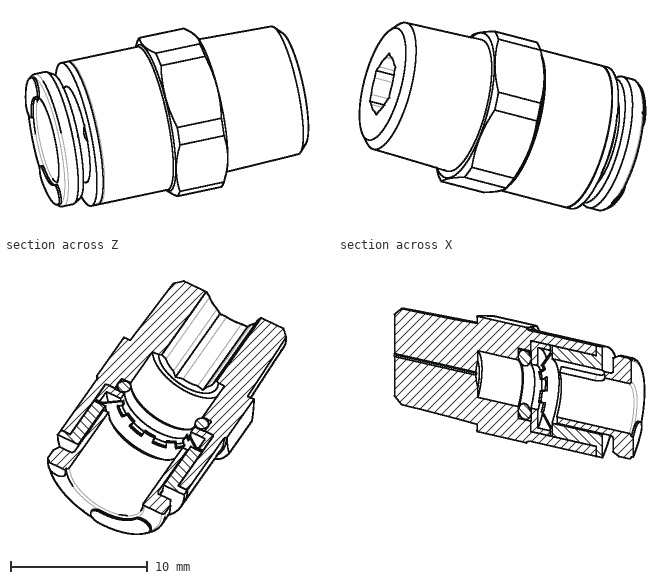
import cadquery as cq
import math

LENGTH = 18.9
FIT_GAP = 0.04

BARREL_RADIUS = 5.35
BARREL_START = 2.91
BARREL_END_FILLET = 0.1
HEX_START = 8.41
HEX_END = 12.38
HEX_ACROSS_FLATS = 11.0
HEX_ACROSS_CORNERS = 12.0
HEX_CORNER_RADIUS = HEX_ACROSS_CORNERS / 2
HEX_FACE_RADIUS = 5.46
HEX_CHAMFER_LENGTH = 0.3
HEX_NECK_LENGTH = 0.15
THREAD_ROOT_RADIUS = 4.97
THREAD_TIP_RADIUS = 4.78
THREAD_CHAMFER = 0.57

CARTRIDGE_RADIUS = 4.54
TUBE_BORE_RADIUS = 3.02
TUBE_SEAT = 12.28
PASSAGE_MOUTH_RADIUS = 2.51
PASSAGE_RADIUS = 2.1
PASSAGE_CONE_HALF_ANGLE = 60.0
KEY_ACROSS_FLATS = 4.0

END_RING_START = 2.44
END_RING_RADIUS = BARREL_RADIUS
END_RING_END = 6.43

PAD_HEIGHT = 0.15
BUTTON_RADIUS = 4.95
BUTTON_FILLET = 0.2
BUTTON_RIM_END = 1.13
BUTTON_END = 1.6
BUTTON_BACK_RADIUS = 4.69
COLLET_RADIUS = 3.55
COLLET_NECK_CHAMFER = 0.17
COLLET_NECK_STEP = 0.1
COLLET_BORE_RADIUS = 3.12
COLLET_END = 6.05
MOUTH_FILLET = 0.17
RELIEF_SLOT_WIDTH = 2.0
RELIEF_SLOT_START = 2.29
COLLET_TURN = 45.0
PAD_OFFSET_ANGLE = 112.0
PAD_HALF_ANGLE = 29.0

TOOTH_COUNT = 9
TOOTH_ANGLE = 18.0
TOOTH_TIP_RADIUS = 2.7
TOOTH_ROOT_RADIUS = 3.05
GRIP_RIM_RADIUS = 3.97
GRIP_CONE_DEPTH = 0.95
GRIP_THICKNESS = 0.15

SPACER_BORE_RADIUS = 2.95
SPACER_WEB_THICKNESS = 0.57
SPACER_SKIRT_RADIUS = 4.15
ORING_INNER_RADIUS = 2.78
ORING_SECTION = 1.0

GRIP_RIM_END = END_RING_END + GRIP_THICKNESS
SPACER_WEB_START = GRIP_RIM_END + GRIP_CONE_DEPTH
SPACER_END = SPACER_WEB_START + SPACER_WEB_THICKNESS
ORING_SEAT_END = SPACER_END + ORING_SECTION
ORING_OUTER_RADIUS = ORING_INNER_RADIUS + ORING_SECTION


def revolved(profile):
    """Turn a closed list of (radius, y) points about the Y axis."""
    points = [(-radius, y) for radius, y in profile]
    return cq.Workplane("XY").polyline(points).close().revolve(360, (0, 0), (0, 1))


def cross_section(y):
    """Sketch plane across the axis; a negative extrusion runs toward +Y."""
    return cq.Workplane("XZ", origin=(0, y, 0))


def polar(radius, angle):
    """Point of a cross-section sketch at an angle given in degrees from +X."""
    turn = math.radians(angle)
    return (radius * math.cos(turn), radius * math.sin(turn))


def hexagon_prism(across_flats, start, end, corner_turn):
    """Hexagonal bar along Y with its first corner turned from +X by corner_turn degrees."""
    corner_radius = across_flats / math.sqrt(3)
    corners = [polar(corner_radius, corner_turn + 60 * i) for i in range(6)]
    return cross_section(start).polyline(corners).close().extrude(start - end)


def make_hexagon():
    blank = revolved([
        (0, HEX_START),
        (HEX_FACE_RADIUS, HEX_START),
        (HEX_CORNER_RADIUS, HEX_START + HEX_CHAMFER_LENGTH),
        (HEX_CORNER_RADIUS, HEX_END - HEX_CHAMFER_LENGTH),
        (HEX_FACE_RADIUS, HEX_END),
        (0, HEX_END),
    ])
    return blank.intersect(hexagon_prism(HEX_ACROSS_FLATS, HEX_START, HEX_END, 30))


def make_housing():
    barrel = revolved([
        (0, BARREL_START),
        (BARREL_RADIUS, BARREL_START),
        (BARREL_RADIUS, HEX_START - HEX_NECK_LENGTH),
        (HEX_FACE_RADIUS, HEX_START),
        (0, HEX_START),
    ])
    barrel = barrel.faces("<Y").edges().fillet(BARREL_END_FILLET)
    thread = revolved([
        (0, HEX_END),
        (THREAD_ROOT_RADIUS, HEX_END),
        (THREAD_TIP_RADIUS, LENGTH - THREAD_CHAMFER),
        (THREAD_TIP_RADIUS - THREAD_CHAMFER, LENGTH),
        (0, LENGTH),
    ])
    cone_slope = math.tan(math.radians(PASSAGE_CONE_HALF_ANGLE))
    cone_depth = (PASSAGE_MOUTH_RADIUS - PASSAGE_RADIUS) / cone_slope
    bore = revolved([
        (0, BARREL_START),
        (CARTRIDGE_RADIUS, BARREL_START),
        (CARTRIDGE_RADIUS, SPACER_END),
        (ORING_OUTER_RADIUS, SPACER_END),
        (ORING_OUTER_RADIUS, ORING_SEAT_END),
        (TUBE_BORE_RADIUS, ORING_SEAT_END),
        (TUBE_BORE_RADIUS, TUBE_SEAT),
        (PASSAGE_MOUTH_RADIUS, TUBE_SEAT),
        (PASSAGE_RADIUS, TUBE_SEAT + cone_depth),
        (PASSAGE_RADIUS, LENGTH),
        (0, LENGTH),
    ])
    key_socket = hexagon_prism(KEY_ACROSS_FLATS, TUBE_SEAT, LENGTH, 0)
    return barrel.union(make_hexagon()).union(thread).cut(bore).cut(key_socket)


def make_end_ring():
    bore_radius = COLLET_RADIUS + FIT_GAP
    return revolved([
        (bore_radius, END_RING_START),
        (END_RING_RADIUS, END_RING_START),
        (END_RING_RADIUS, BARREL_START),
        (CARTRIDGE_RADIUS, BARREL_START),
        (CARTRIDGE_RADIUS, END_RING_END),
        (bore_radius, END_RING_END),
    ])


def make_pad(middle_angle):
    """Curved oblong pad filling the ring-shaped button face between mouth and rim fillet."""
    inner_radius = COLLET_BORE_RADIUS + MOUTH_FILLET
    outer_radius = BUTTON_RADIUS - BUTTON_FILLET
    centre_radius = (inner_radius + outer_radius) / 2
    end_radius = (outer_radius - inner_radius) / 2
    first = middle_angle - PAD_HALF_ANGLE
    last = middle_angle + PAD_HALF_ANGLE
    end_reach = math.degrees(end_radius / centre_radius)
    return (
        cross_section(0)
        .moveTo(*polar(outer_radius, first))
        .threePointArc(polar(outer_radius, middle_angle), polar(outer_radius, last))
        .threePointArc(polar(centre_radius, last + end_reach), polar(inner_radius, last))
        .threePointArc(polar(inner_radius, middle_angle), polar(inner_radius, first))
        .threePointArc(polar(centre_radius, first - end_reach), polar(outer_radius, first))
        .close()
        .extrude(-PAD_HEIGHT)
    )


def make_relief_slot():
    """Slot through one side of the collet wall, round at the button end and open at the other."""
    radius = RELIEF_SLOT_WIDTH / 2
    round_end = RELIEF_SLOT_START + radius
    return (
        cq.Workplane("XY")
        .moveTo(-radius, COLLET_END)
        .lineTo(-radius, round_end)
        .threePointArc((0, RELIEF_SLOT_START), (radius, round_end))
        .lineTo(radius, COLLET_END)
        .close()
        .extrude(COLLET_RADIUS)
    )


def make_collet():
    collet = revolved([
        (COLLET_BORE_RADIUS, PAD_HEIGHT),
        (BUTTON_RADIUS, PAD_HEIGHT),
        (BUTTON_RADIUS, BUTTON_RIM_END),
        (BUTTON_BACK_RADIUS, BUTTON_END),
        (COLLET_RADIUS + COLLET_NECK_STEP, BUTTON_END),
        (COLLET_RADIUS, BUTTON_END + COLLET_NECK_CHAMFER),
        (COLLET_RADIUS, COLLET_END),
        (COLLET_BORE_RADIUS, COLLET_END),
    ])
    largest_circle = cq.selectors.RadiusNthSelector(-1)
    smallest_circle = cq.selectors.RadiusNthSelector(0)
    collet = collet.faces("<Y").edges(largest_circle).fillet(BUTTON_FILLET)
    collet = collet.faces("<Y").edges(smallest_circle).fillet(MOUTH_FILLET)
    collet = collet.cut(make_relief_slot())
    slot_angle = 90
    for offset in (-PAD_OFFSET_ANGLE, PAD_OFFSET_ANGLE):
        collet = collet.union(make_pad(slot_angle + offset))
    return collet.rotate((0, 0, 0), (0, 1, 0), COLLET_TURN)


def make_grip_ring():
    """Flat rim with a cone of teeth that lean inward, away from the button."""
    cone_end = END_RING_END + GRIP_CONE_DEPTH
    ring = revolved([
        (TOOTH_TIP_RADIUS, cone_end),
        (GRIP_RIM_RADIUS, END_RING_END),
        (CARTRIDGE_RADIUS, END_RING_END),
        (CARTRIDGE_RADIUS, GRIP_RIM_END),
        (GRIP_RIM_RADIUS, GRIP_RIM_END),
        (TOOTH_TIP_RADIUS, cone_end + GRIP_THICKNESS),
    ])
    pitch = 360 / TOOTH_COUNT
    half_gap = (pitch - TOOTH_ANGLE) / 2
    for i in range(TOOTH_COUNT):
        middle = pitch * i
        gap = (
            cross_section(END_RING_END)
            .lineTo(*polar(TOOTH_ROOT_RADIUS, middle - half_gap))
            .threePointArc(
                polar(TOOTH_ROOT_RADIUS, middle),
                polar(TOOTH_ROOT_RADIUS, middle + half_gap),
            )
            .close()
            .extrude(END_RING_END - SPACER_END)
        )
        ring = ring.cut(gap)
    return ring


def make_spacer():
    """Cup behind the grip ring: its skirt clamps the rim and its web backs the O-ring."""
    return revolved([
        (SPACER_BORE_RADIUS, SPACER_WEB_START),
        (SPACER_SKIRT_RADIUS, SPACER_WEB_START),
        (SPACER_SKIRT_RADIUS, GRIP_RIM_END),
        (CARTRIDGE_RADIUS, GRIP_RIM_END),
        (CARTRIDGE_RADIUS, SPACER_END),
        (SPACER_BORE_RADIUS, SPACER_END),
    ])


def make_oring():
    section_radius = ORING_SECTION / 2
    ring_radius = ORING_INNER_RADIUS + section_radius
    return (
        cq.Workplane("XY")
        .center(-ring_radius, SPACER_END + section_radius)
        .circle(section_radius)
        .revolve(360, (ring_radius, 0), (ring_radius, 1))
    )


housing = make_housing()
end_ring = make_end_ring()
collet = make_collet()
grip_ring = make_grip_ring()
spacer = make_spacer()
oring = make_oring()

result = cq.Compound.makeCompound([
    housing.val(),
    end_ring.val(),
    collet.val(),
    grip_ring.val(),
    spacer.val(),
    oring.val(),
])